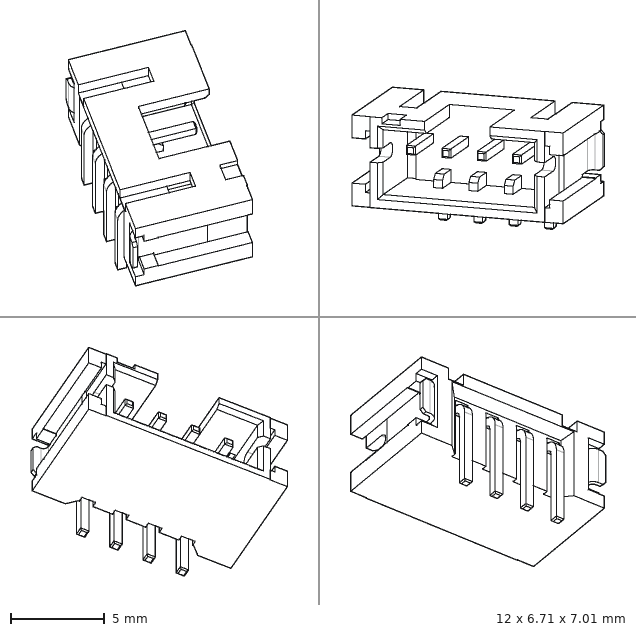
import cadquery as cq


width = 11.95
depth = 6.58
height = 5.0
mid_z = height / 2
shell = 0.72
roof_z = height - shell

wall_x = 4.94
flange_setback = 0.04
channel_half = 1.24
channel_neck_half = 1.21
notch_half = 1.7
notch_depth = 0.49

clip_thick = 0.25
clip_gap = 0.02
clip_x = wall_x + clip_gap + clip_thick
clip_tab_half = 1.09
clip_bend = 0.3
clip_plate_front = 1.28
clip_plate_rear = 4.28
clip_corner = 0.2

pin_pitch = 2.0
pin_count = 4
pin_size = 0.5
pin_front = -0.13
pin_rear = 5.58
pin_bottom = -2.01
pin_top = 3.31
pin_bend = 0.88
pin_tip = 0.08

cavity_half = 4.28
cavity_front = 2.62
lead_in = 0.24
relief_inner = 3.73
relief_slant = 0.05
relief_depth = 0.2
rib_height = 0.72
rib_length = 1.37
rib_chamfer = 0.27

roof_cutout_half = 1.84
roof_slot_inner = 3.23
roof_slot_outer = 4.2
roof_slot_length = 3.92
key_inner = 3.23
key_outer = 4.27
key_length = 1.0
key_depth = 0.33
side_slot_height = 0.79
side_slot_front = 4.79

recess_half = 3.98
recess_top = 4.2
recess_depth = 0.5
groove_half = 0.41
groove_top = 3.5
groove_depth = 0.32


def block(x_min, x_max, y_min, y_max, z_min, z_max):
    """Box given by its limits along each axis."""
    size = (x_max - x_min, y_max - y_min, z_max - z_min)
    return cq.Workplane().box(*size, centered=False).translate((x_min, y_min, z_min))


def both_ends(shape):
    """The +X shape together with its mirror image at -X."""
    return shape.union(shape.mirror("YZ"))


def level_block(x_min, x_max, y_min, y_max, half_height):
    """Box centred on the mid height of the housing."""
    return block(x_min, x_max, y_min, y_max, mid_z - half_height, mid_z + half_height)


def frustum(y_start, near, far, length):
    """Taper along +Y between two (half width, bottom, top) rectangles."""
    def corners(rectangle):
        half, bottom, top = rectangle
        return [(-half, bottom), (half, bottom), (half, top), (-half, top)]

    return (
        cq.Workplane("XZ", origin=(0, y_start, 0))
        .polyline(corners(near)).close()
        .workplane(offset=-length)
        .polyline(corners(far)).close()
        .loft(ruled=True)
    )


def make_housing():
    """Outer block with side channels, clip grooves and front notches."""
    half = width / 2
    housing = block(-half, half, 0, depth, 0, height)
    flange_rear = depth - flange_setback
    cuts = (
        block(wall_x, half, flange_rear, depth, 0, height)
        .union(level_block(wall_x, half, 0, depth, channel_neck_half))
        .union(level_block(wall_x, half, clip_plate_front, depth, channel_half))
        .union(level_block(wall_x, clip_x, clip_plate_front, depth, notch_half))
        .union(level_block(wall_x, half, 0, notch_depth, notch_half))
    )
    return housing.cut(both_ends(cuts))


def make_cavity():
    """Plug cavity with corner reliefs and a lead-in chamfer around its mouth."""
    cavity = block(-cavity_half, cavity_half, cavity_front, depth, shell, roof_z)
    mouth = frustum(
        depth - lead_in,
        (cavity_half, shell, roof_z),
        (cavity_half + lead_in, shell - lead_in, roof_z + lead_in),
        lead_in,
    )
    relief = (
        cq.Workplane(origin=(0, 0, shell))
        .moveTo(relief_inner, cavity_front)
        .lineTo(relief_inner + relief_slant, cavity_front - relief_depth)
        .lineTo(cavity_half, cavity_front - relief_depth)
        .lineTo(cavity_half, cavity_front)
        .close()
        .extrude(roof_z - shell)
    )
    return cavity.union(mouth).union(both_ends(relief))


def make_ribs():
    """Floor ribs halfway between the pins, bevelled at their rear ends."""
    rib_rear = cavity_front + rib_length
    rib = (
        block(-pin_size / 2, pin_size / 2, cavity_front, rib_rear, shell, shell + rib_height)
        .faces(">Y").edges(">Z").chamfer(rib_chamfer)
    )
    return rib.union(both_ends(rib.translate((pin_pitch, 0, 0))))


def make_openings():
    """Roof cutout, roof slots, key notch and the slots through the end walls."""
    roof_cutout = block(-roof_cutout_half, roof_cutout_half, cavity_front, depth, roof_z, height)
    roof_slot = block(roof_slot_inner, roof_slot_outer, 0, roof_slot_length, roof_z, height)
    key = block(key_inner, key_outer, depth - key_length, depth, height - key_depth, height)
    radius = side_slot_height / 2
    side_slot = (
        cq.Workplane("YZ", origin=(cavity_half, 0, 0))
        .moveTo(depth, mid_z)
        .lineTo(side_slot_front + radius, mid_z)
        .threePointArc(
            (side_slot_front, mid_z + radius),
            (side_slot_front + radius, mid_z + side_slot_height),
        )
        .lineTo(depth, mid_z + side_slot_height)
        .close()
        .extrude(wall_x - cavity_half)
    )
    return roof_cutout.union(both_ends(roof_slot)).union(key).union(both_ends(side_slot))


def make_front_recess(pin_places):
    """Tapered recess in the front face, open below, with a groove behind each leg."""
    recess = frustum(
        0,
        (recess_half, 0, recess_top),
        (recess_half - recess_depth, 0, recess_top - recess_depth),
        recess_depth,
    )
    groove_rear = recess_depth + groove_depth
    for x in pin_places:
        groove = block(x - groove_half, x + groove_half, 0, groove_rear, 0, groove_top)
        recess = recess.union(groove)
    return recess


def make_pin(x):
    """Square bent pin with bevelled tips, centred on x."""
    leg_rear = pin_front + pin_size
    contact_bottom = pin_top - pin_size
    inner_bend = pin_bend - pin_size
    bend_y = pin_front + pin_bend
    bend_z = pin_top - pin_bend
    return (
        cq.Workplane("YZ", origin=(x - pin_size / 2, 0, 0))
        .moveTo(pin_front, pin_bottom)
        .lineTo(pin_front, bend_z)
        .radiusArc((bend_y, pin_top), pin_bend)
        .lineTo(pin_rear, pin_top)
        .lineTo(pin_rear, contact_bottom)
        .lineTo(bend_y, contact_bottom)
        .radiusArc((leg_rear, bend_z), -inner_bend)
        .lineTo(leg_rear, pin_bottom)
        .close()
        .extrude(pin_size)
        .faces(">Y or <Z").chamfer(pin_tip)
    )


def make_clip():
    """Hold-down clip at +X: wide plate in the groove and a tab bent outwards."""
    plate = level_block(wall_x, clip_x, clip_plate_front, clip_plate_rear, notch_half)
    inner_x = clip_x - clip_thick
    outer_bend = clip_bend + clip_thick
    bend_x = inner_x + outer_bend
    bend_y = pin_front + outer_bend
    tab_rear = pin_front + clip_thick
    tab = (
        cq.Workplane(origin=(0, 0, mid_z - clip_tab_half))
        .moveTo(inner_x, clip_plate_front)
        .lineTo(inner_x, bend_y)
        .radiusArc((bend_x, pin_front), -outer_bend)
        .lineTo(width / 2, pin_front)
        .lineTo(width / 2, tab_rear)
        .lineTo(bend_x, tab_rear)
        .radiusArc((clip_x, bend_y), clip_bend)
        .lineTo(clip_x, clip_plate_front)
        .close()
        .extrude(2 * clip_tab_half)
        .faces(">X").edges("|Y").chamfer(clip_corner)
    )
    return plate.union(tab)


pin_places = [(i - (pin_count - 1) / 2) * pin_pitch for i in range(pin_count)]

result = (
    make_housing()
    .cut(make_cavity())
    .cut(make_openings())
    .cut(make_front_recess(pin_places))
    .union(make_ribs())
    .union(both_ends(make_clip()))
)
for place in pin_places:
    result = result.union(make_pin(place))